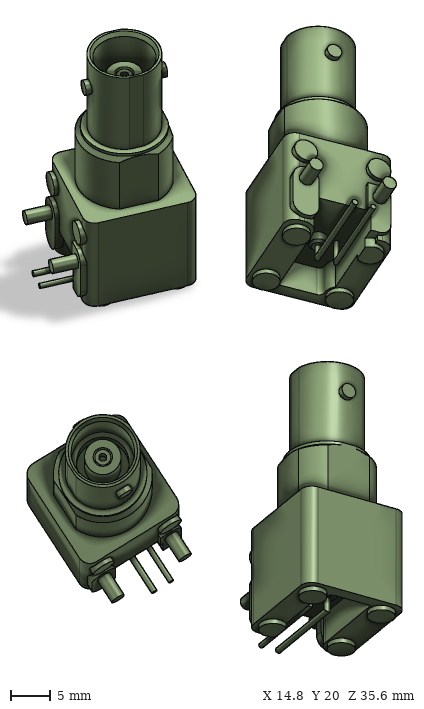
import cadquery as cq
import math


HOUSING_WIDTH = 14.76
HOUSING_BACK = 7.6
HOUSING_FRONT = -7.66
HOUSING_HEIGHT = 14.05
HOUSING_CORNER_RADIUS = 1.6

CORNER_OFFSET = 5.08

FOOT_RADIUS = 1.79
FOOT_HEIGHT = 0.66

PAD_FACE = -8.28
PAD_ROOT = -7.1
BUTTON_RADIUS = 1.59
BUTTON_Z = 11.08
PAD_BOTTOM_ARC_Z = 2.37
LEFT_PAD_RADIUS = 1.8
LEFT_PAD_TOP_ARC_Z = 6.57
RIGHT_PAD_RADIUS = 1.59
RIGHT_PAD_TOP_ARC_Z = 6.77
PEG_RADIUS = 0.94
PEG_Z = 6.37
PEG_TIP = -11.71

POCKET_HEIGHT = 4.36
POCKET_RIGHT = 3.87
POCKET_BACK = 5.86
LEG_RADIUS = 2.03
LEFT_POCKET_FILLET = 0.3
RIGHT_POCKET_FILLET = 0.78

COLLAR_RADIUS = 6.33
COLLAR_SIDE_FLAT = 5.75
COLLAR_BACK_FLAT = 5.53
COLLAR_RING_RADIUS = 5.65
COLLAR_STRAIGHT = 7.85
COLLAR_CHAMFER_TOP = 8.37
COLLAR_HEIGHT = 8.8

BARREL_RADIUS = 4.8
BARREL_SIDE_FLAT = 4.7
BARREL_RISE = 20.85
RIM_Z = HOUSING_HEIGHT + BARREL_RISE
BAYONET_PIN_RADIUS = 1.0
BAYONET_PIN_REACH = 5.53
BAYONET_PIN_DEPTH = 4.23
BAYONET_PIN_ROOT = 4.4

BORE_MOUTH_RADIUS = 4.43
BORE_RADIUS = 4.05
BORE_CHAMFER_DEPTH = 0.6
BORE_DEPTH = 6.5
GROOVE_RADIUS = 3.37
GROOVE_DEPTH = 8.7
INSULATOR_RADIUS = 2.33
INSULATOR_FACE_DEPTH = 3.3
COUNTERSINK_RADIUS = 1.23
CONTACT_RADIUS = 1.03
COUNTERSINK_DEPTH = 0.2
CONTACT_HOLE_RADIUS = 0.5
CONTACT_HOLE_DEPTH = 5.0

PIN_Z = 1.22
OVERALL_DEPTH = 19.99
PIN_TIP = HOUSING_BACK - OVERALL_DEPTH
PIN_ROOT = 7.0
SIGNAL_PIN_RADIUS = 0.4
GROUND_PIN_RADIUS = 0.35
GROUND_PIN_X = 2.54
SLEEVE_RADIUS = 1.22
SLEEVE_TIP_RADIUS = 0.88
SLEEVE_CHAMFER_Z = 3.2
SLEEVE_TIP_Z = 2.87


def rod_along_y(radius, x, z, front, back):
    """Round rod parallel to Y between two Y positions."""
    return cq.Workplane("XZ", origin=(x, back, z)).circle(radius).extrude(back - front)


def rod_along_z(radius, x, y, bottom, top):
    """Round rod parallel to Z between two heights."""
    return cq.Workplane("XY", origin=(x, y, bottom)).circle(radius).extrude(top - bottom)


def box_between(x_range, y_range, z_range):
    """Box given by its limits along each axis."""
    size = [high - low for low, high in (x_range, y_range, z_range)]
    corner = (x_range[0], y_range[0], z_range[0])
    return cq.Workplane("XY", origin=corner).box(*size, centered=False)


def make_housing():
    return (
        box_between(
            (-HOUSING_WIDTH / 2, HOUSING_WIDTH / 2),
            (HOUSING_FRONT, HOUSING_BACK),
            (0, HOUSING_HEIGHT),
        )
        .edges("|Z")
        .fillet(HOUSING_CORNER_RADIUS)
    )


def make_feet():
    feet = cq.Workplane("XY")
    for x in (-CORNER_OFFSET, CORNER_OFFSET):
        for y in (-CORNER_OFFSET, CORNER_OFFSET):
            feet = feet.add(rod_along_z(FOOT_RADIUS, x, y, -FOOT_HEIGHT, POCKET_HEIGHT))
    return feet.combine()


def make_pocket():
    """Space between the legs: rounded legs at front left and rear right, a flat wall at front right."""
    side = CORNER_OFFSET - LEG_RADIUS
    diagonal = LEG_RADIUS * math.sqrt(0.5)
    left_leg_y = HOUSING_FRONT + LEG_RADIUS
    right_leg_y = POCKET_BACK - RIGHT_POCKET_FILLET
    wall_offset = CORNER_OFFSET - POCKET_RIGHT
    wall_end_y = right_leg_y - math.sqrt(LEG_RADIUS**2 - wall_offset**2)
    middle_offset = (wall_offset + LEG_RADIUS) / 2
    leg_middle = (
        CORNER_OFFSET - middle_offset,
        right_leg_y - math.sqrt(LEG_RADIUS**2 - middle_offset**2),
    )
    return (
        cq.Workplane("XY", origin=(0, 0, -FOOT_HEIGHT))
        .moveTo(-CORNER_OFFSET, HOUSING_FRONT)
        .threePointArc((-CORNER_OFFSET + diagonal, left_leg_y - diagonal), (-side, left_leg_y))
        .lineTo(-side, POCKET_BACK - LEFT_POCKET_FILLET)
        .radiusArc((-side + LEFT_POCKET_FILLET, POCKET_BACK), LEFT_POCKET_FILLET)
        .lineTo(side - RIGHT_POCKET_FILLET, POCKET_BACK)
        .radiusArc((side, right_leg_y), RIGHT_POCKET_FILLET)
        .threePointArc(leg_middle, (POCKET_RIGHT, wall_end_y))
        .lineTo(POCKET_RIGHT, PAD_FACE)
        .lineTo(-CORNER_OFFSET, PAD_FACE)
        .close()
        .extrude(POCKET_HEIGHT + FOOT_HEIGHT)
    )


def make_foot_recess():
    """Cut under the right pad that bares the front of the right foot."""
    recess_top = PAD_BOTTOM_ARC_Z - RIGHT_PAD_RADIUS
    recess = box_between((POCKET_RIGHT, CORNER_OFFSET), (HOUSING_FRONT, -CORNER_OFFSET), (0, recess_top))
    return recess.cut(rod_along_z(FOOT_RADIUS, CORNER_OFFSET, -CORNER_OFFSET, 0, recess_top))


def make_pad(x, radius, top_arc_z):
    """Upright rounded-end pad on the front face."""
    pad = box_between((x - radius, x + radius), (PAD_FACE, PAD_ROOT), (PAD_BOTTOM_ARC_Z, top_arc_z))
    for z in (PAD_BOTTOM_ARC_Z, top_arc_z):
        pad = pad.union(rod_along_y(radius, x, z, PAD_FACE, PAD_ROOT))
    return pad


def make_left_pad():
    return make_pad(-CORNER_OFFSET, LEFT_PAD_RADIUS, LEFT_PAD_TOP_ARC_Z)


def make_right_pad():
    """Pad with square corners on the side of the pocket."""
    pad = make_pad(CORNER_OFFSET, RIGHT_PAD_RADIUS, RIGHT_PAD_TOP_ARC_Z)
    square_half = box_between(
        (CORNER_OFFSET - RIGHT_PAD_RADIUS, CORNER_OFFSET),
        (PAD_FACE, HOUSING_FRONT),
        (PAD_BOTTOM_ARC_Z - RIGHT_PAD_RADIUS, RIGHT_PAD_TOP_ARC_Z + RIGHT_PAD_RADIUS),
    )
    return pad.union(square_half)


def add_buttons_and_pegs(body):
    for x in (-CORNER_OFFSET, CORNER_OFFSET):
        body = body.union(rod_along_y(BUTTON_RADIUS, x, BUTTON_Z, PAD_FACE, PAD_ROOT))
        body = body.union(rod_along_y(PEG_RADIUS, x, PEG_Z, PEG_TIP, PAD_ROOT))
    return body


def make_collar():
    collar = (
        cq.Workplane("XZ")
        .moveTo(0, 0)
        .lineTo(COLLAR_RADIUS, 0)
        .lineTo(COLLAR_RADIUS, COLLAR_STRAIGHT)
        .lineTo(COLLAR_RING_RADIUS, COLLAR_CHAMFER_TOP)
        .lineTo(COLLAR_RING_RADIUS, COLLAR_HEIGHT)
        .lineTo(0, COLLAR_HEIGHT)
        .close()
        .revolve(360, (0, 0), (0, 1))
    )
    flats = box_between(
        (-COLLAR_SIDE_FLAT, COLLAR_SIDE_FLAT),
        (-COLLAR_RADIUS, COLLAR_BACK_FLAT),
        (0, COLLAR_HEIGHT),
    )
    return collar.intersect(flats).translate((0, 0, HOUSING_HEIGHT))


def make_barrel():
    barrel = rod_along_z(BARREL_RADIUS, 0, 0, HOUSING_HEIGHT, RIM_Z)
    flats = box_between(
        (-BARREL_SIDE_FLAT, BARREL_SIDE_FLAT),
        (-BARREL_RADIUS, BARREL_RADIUS),
        (HOUSING_HEIGHT, RIM_Z),
    )
    return barrel.intersect(flats)


def make_bore():
    """Space inside the barrel around the insulator and its contact."""
    contact_face_depth = INSULATOR_FACE_DEPTH + COUNTERSINK_DEPTH
    profile = [
        (0, 0),
        (BORE_MOUTH_RADIUS, 0),
        (BORE_RADIUS, -BORE_CHAMFER_DEPTH),
        (BORE_RADIUS, -BORE_DEPTH),
        (GROOVE_RADIUS, -BORE_DEPTH),
        (GROOVE_RADIUS, -GROOVE_DEPTH),
        (INSULATOR_RADIUS, -GROOVE_DEPTH),
        (INSULATOR_RADIUS, -INSULATOR_FACE_DEPTH),
        (COUNTERSINK_RADIUS, -INSULATOR_FACE_DEPTH),
        (CONTACT_RADIUS, -contact_face_depth),
        (CONTACT_HOLE_RADIUS, -contact_face_depth),
        (CONTACT_HOLE_RADIUS, -CONTACT_HOLE_DEPTH),
        (0, -CONTACT_HOLE_DEPTH),
    ]
    bore = cq.Workplane("XZ").polyline(profile).close().revolve(360, (0, 0), (0, 1))
    return bore.translate((0, 0, RIM_Z))


def add_bayonet_pins(body):
    z = RIM_Z - BAYONET_PIN_DEPTH
    body = body.union(rod_along_y(BAYONET_PIN_RADIUS, 0, z, -BAYONET_PIN_REACH, -BAYONET_PIN_ROOT))
    return body.union(rod_along_y(BAYONET_PIN_RADIUS, 0, z, BAYONET_PIN_ROOT, BAYONET_PIN_REACH))


def make_solder_pin(radius, x):
    """Pin dropping from the pocket ceiling, with a mitred bend towards the front."""
    path = (
        cq.Workplane("YZ", origin=(x, 0, 0))
        .moveTo(0, PIN_ROOT)
        .lineTo(0, PIN_Z)
        .lineTo(PIN_TIP, PIN_Z)
    )
    section = cq.Workplane("XY", origin=(x, 0, PIN_ROOT)).circle(radius)
    return section.sweep(path, transition="right")


def make_sleeve():
    """Chamfered insulating sleeve around the signal pin."""
    profile = [
        (0, PIN_ROOT),
        (SLEEVE_RADIUS, PIN_ROOT),
        (SLEEVE_RADIUS, SLEEVE_CHAMFER_Z),
        (SLEEVE_TIP_RADIUS, SLEEVE_TIP_Z),
        (0, SLEEVE_TIP_Z),
    ]
    return cq.Workplane("XZ").polyline(profile).close().revolve(360, (0, 0), (0, 1))


result = make_housing().cut(make_foot_recess()).union(make_feet())
result = result.union(make_right_pad()).cut(make_pocket()).union(make_left_pad())
result = add_buttons_and_pegs(result)
result = result.union(make_collar()).union(make_barrel()).cut(make_bore())
result = add_bayonet_pins(result)
result = result.union(make_sleeve())
result = result.union(make_solder_pin(SIGNAL_PIN_RADIUS, 0))
result = result.union(make_solder_pin(GROUND_PIN_RADIUS, GROUND_PIN_X))